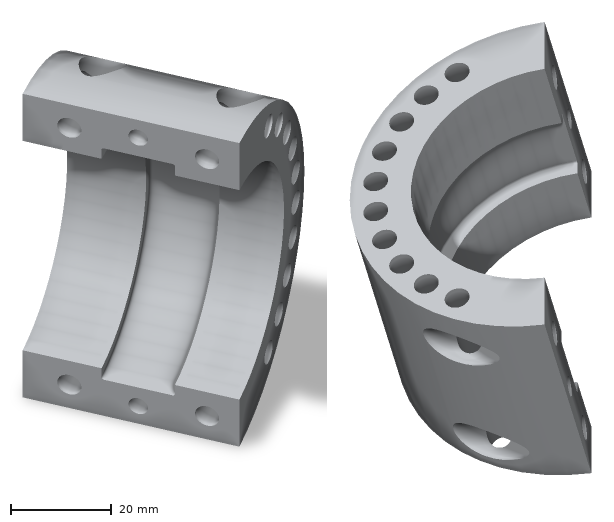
import cadquery as cq
import math

length = 45.4
outer_radius = 40.0
bore_radius = 27.6
split_gap = 0.55

groove_radius = 30.5
groove_width = 15.35
groove_center = 24.2
groove_fillet = 0.5

axial_hole_count = 10
axial_hole_diameter = 5.0
axial_circle_radius = 34.95
axial_hole_pitch = 13.0

bolt_spacing = 28.9
bolt_height = 33.8
bolt_diameter = 5.0
head_diameter = 8.8
head_seat = 10.0
pin_diameter = 4.1
pin_height = 35.35
pin_depth = 8.0


def x_cylinder(radius, start, size):
    """Cylinder about the ring axis."""
    return cq.Workplane("YZ", origin=(start, 0, 0)).circle(radius).extrude(size)


def y_cylinder(diameter, x, z, start, size):
    """Cylinder running towards +Y from a distance behind the ring axis."""
    plane = cq.Plane(origin=(x, start, z), xDir=(1, 0, 0), normal=(0, 1, 0))
    return cq.Workplane(plane).circle(diameter / 2).extrude(size)


def half_ring():
    groove = x_cylinder(groove_radius, groove_center - groove_width / 2, groove_width)
    groove = groove.edges("%CIRCLE").fillet(groove_fillet)
    ring = x_cylinder(outer_radius, 0, length).cut(x_cylinder(bore_radius, 0, length)).cut(groove)
    keep = cq.Workplane("XY").box(length, outer_radius, 2 * outer_radius, centered=(False, False, True))
    return ring.intersect(keep.translate((0, split_gap, 0)))


def axial_holes():
    middle = (axial_hole_count - 1) / 2
    points = []
    for index in range(axial_hole_count):
        angle = math.radians((index - middle) * axial_hole_pitch)
        points.append((axial_circle_radius * math.cos(angle), axial_circle_radius * math.sin(angle)))
    return cq.Workplane("YZ").pushPoints(points).circle(axial_hole_diameter / 2).extrude(length)


result = half_ring().cut(axial_holes())
for side in (-1, 1):
    for end in (-1, 1):
        bolt_x = groove_center + end * bolt_spacing / 2
        bolt_z = side * bolt_height
        result = result.cut(y_cylinder(bolt_diameter, bolt_x, bolt_z, 0, outer_radius))
        result = result.cut(y_cylinder(head_diameter, bolt_x, bolt_z, split_gap + head_seat, outer_radius))
    result = result.cut(y_cylinder(pin_diameter, groove_center, side * pin_height, split_gap, pin_depth))